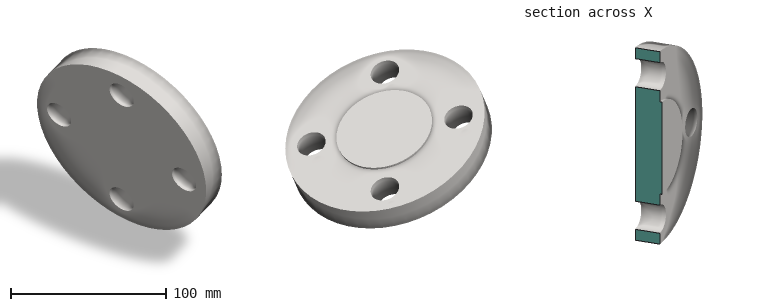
import cadquery as cq

flange_diameter = 133.3
overall_thickness = 19.0
raised_face_height = 1.6
raised_face_diameter = 64.0
bolt_circle_diameter = 98.4
bolt_hole_diameter = 19.0
bolt_count = 4


def disc(diameter, thickness):
    """Round disc on the Y axis, from the plain face at Y = 0 towards +Y."""
    return cq.Workplane("XZ").circle(diameter / 2).extrude(-thickness)


def bolt_holes():
    """Through-hole cutters equally spaced on the bolt circle, one on the +X axis."""
    return (
        cq.Workplane("XZ")
        .polarArray(bolt_circle_diameter / 2, 0, 360, bolt_count)
        .circle(bolt_hole_diameter / 2)
        .extrude(-overall_thickness)
    )


flange = disc(flange_diameter, overall_thickness - raised_face_height)
raised_face = disc(raised_face_diameter, overall_thickness)

result = flange.union(raised_face).cut(bolt_holes())